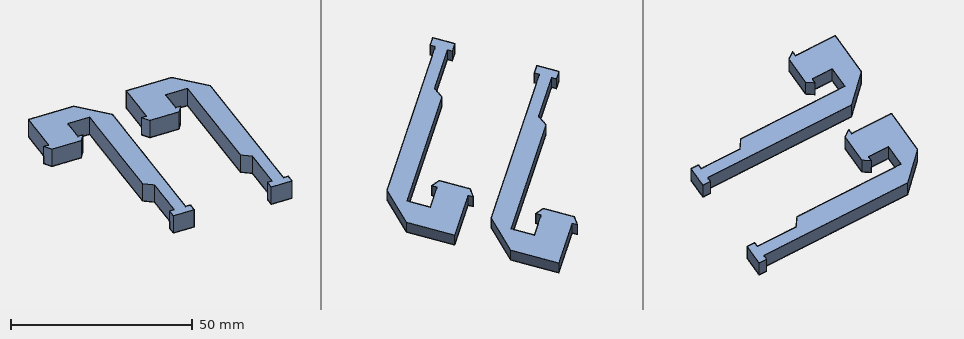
import cadquery as cq

length = 56.85
width = 24.95
thickness = 6.0
clip_pitch = 30.0
clip_count = 2

head_overhang = 1.5
head_length = 2.45
head_width = 6.4
thick_arm_width = 6.25
thin_arm_width = 3.5
taper_start = 40.05
taper_end = 41.95
corner_chamfer = 8.0

spine_width = 6.4
block_width = 9.0
barb_height = 1.55
barb_root = 12.85
nose = 15.0

arm_outer = width - head_overhang
thick_arm_inner = arm_outer - thick_arm_width
thin_arm_inner = arm_outer - thin_arm_width
head_inner = width - head_width
head_start = length - head_length
block_bottom = barb_height
block_top = block_bottom + block_width


def make_clip(y_offset):
    """One flat hook clip, with its lowest barb tip at y_offset."""
    outline = [
        (0, block_bottom),
        (barb_root, block_bottom),
        (barb_root, 0),
        (nose, block_bottom),
        (nose, block_top),
        (barb_root, block_top + barb_height),
        (barb_root, block_top),
        (spine_width, block_top),
        (spine_width, thick_arm_inner),
        (taper_start, thick_arm_inner),
        (taper_end, thin_arm_inner),
        (head_start, thin_arm_inner),
        (head_start, head_inner),
        (length, head_inner),
        (length, width),
        (head_start, width),
        (head_start, arm_outer),
        (corner_chamfer, arm_outer),
        (0, arm_outer - corner_chamfer),
    ]
    return (
        cq.Workplane("XY")
        .polyline(outline)
        .close()
        .extrude(thickness)
        .translate((0, y_offset, 0))
    )


clips = [make_clip(index * clip_pitch) for index in range(clip_count)]

result = cq.Compound.makeCompound([clip.val() for clip in clips])